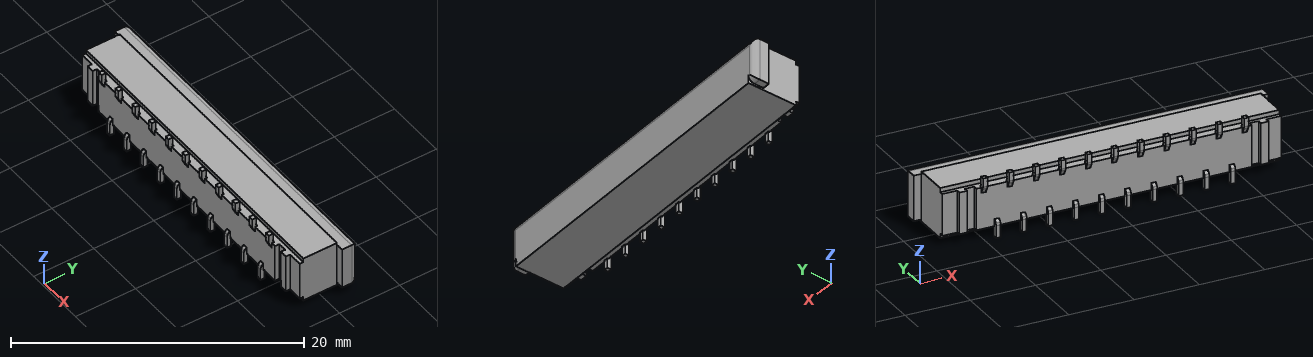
import cadquery as cq
import math


total_depth = 5.0
total_height = 4.8
mating_face_y = total_depth / 2
pin_face_y = mating_face_y - total_depth
pin_tip_z = total_height / 2

flange_length = 27.2
flange_height = 3.5
flange_depth = 1.3
flange_round = 0.5

body_length = 26.0
body_height = 3.85
body_depth = 4.1
base_strip_height = (body_height - flange_height) / 2 + flange_round

block_height = 3.2
block_depth = 4.4
raised_depth = 4.75
raised_length = 21.1
rib_width = 0.6
rib_center_x = 11.55

pin_pitch = 2.0
pin_width = 0.35
pin_thickness = 0.35
pin_root_depth = 3.9
pin_bend_radius = 0.4
pin_slant_angle = math.radians(27)
upper_pin_count = 11
upper_bend_z = 1.68
upper_slant_length = 0.8
lower_pin_count = 10
lower_bend_z = 1.33
lower_slant_length = 0.37


def slab(length, height, front_depth, rear_depth, center_x=0.0, center_z=0.0):
    """Block between two depths from the mating face."""
    center_y = mating_face_y - (front_depth + rear_depth) / 2
    block = cq.Workplane("XY").box(length, rear_depth - front_depth, height)
    return block.translate((center_x, center_y, center_z))


def make_flange():
    """Flange with rounded edges all around the mating face."""
    return slab(flange_length, flange_height, 0, flange_depth).faces(">Y").edges().fillet(flange_round)


def make_body():
    """Housing behind the flange, with a base strip running under the flange to the mating face."""
    strip_z = (base_strip_height - body_height) / 2
    strip = slab(body_length, base_strip_height, 0, flange_depth, center_z=strip_z)
    return slab(body_length, body_height, flange_depth, body_depth).union(strip)


def make_contact_block():
    """Stepped block with a raised centre and one upright rib near each end."""
    block = slab(body_length, block_height, flange_depth, block_depth)
    block = block.union(slab(raised_length, block_height, flange_depth, raised_depth))
    for side in (-1, 1):
        block = block.union(slab(rib_width, block_height, flange_depth, raised_depth, side * rib_center_x))
    return block


def make_pin(bend_z, slant_length):
    """Upward pin: upright tip, slanted middle and level root in the block, outer bends rounded."""
    inner_y = pin_face_y + pin_thickness
    root_y = mating_face_y - pin_root_depth
    root_bend_y = pin_face_y + slant_length * math.sin(pin_slant_angle)
    root_z = bend_z - slant_length * math.cos(pin_slant_angle)
    tip_mitre = pin_thickness * math.tan(pin_slant_angle / 2)
    root_mitre = pin_thickness * math.tan((math.pi / 2 - pin_slant_angle) / 2)
    outline = [
        (pin_face_y, pin_tip_z),
        (pin_face_y, bend_z),
        (root_bend_y, root_z),
        (root_y, root_z),
        (root_y, root_z + pin_thickness),
        (root_bend_y + root_mitre, root_z + pin_thickness),
        (inner_y, bend_z + tip_mitre),
        (inner_y, pin_tip_z),
    ]
    pin = cq.Workplane("YZ").polyline(outline).close().extrude(pin_width / 2, both=True)
    for bend in ((0, pin_face_y, bend_z), (0, root_bend_y, root_z)):
        pin = pin.edges(cq.NearestToPointSelector(bend)).fillet(pin_bend_radius)
    return pin


def add_pin_row(part, pin, count):
    """Join a row of pins, centred on X, to the part."""
    first_x = -pin_pitch * (count - 1) / 2
    for index in range(count):
        part = part.union(pin.translate((first_x + index * pin_pitch, 0, 0)))
    return part


upper_pin = make_pin(upper_bend_z, upper_slant_length)
lower_pin = make_pin(lower_bend_z, lower_slant_length).mirror("XY")

housing = make_flange().union(make_body()).union(make_contact_block())
result = add_pin_row(housing, upper_pin, upper_pin_count)
result = add_pin_row(result, lower_pin, lower_pin_count)